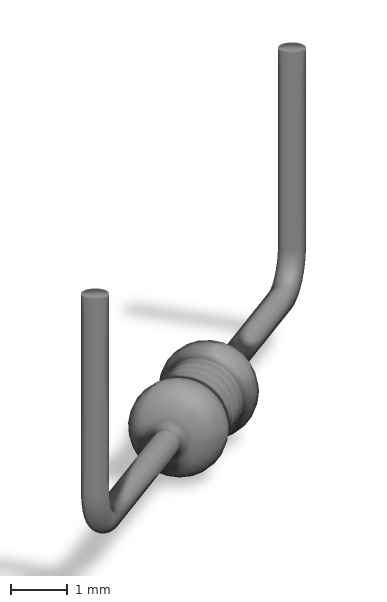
import cadquery as cq
import math

overall_length = 13.0
overall_height = 5.4

wire_radius = 0.25
bend_radius = 0.75

bulge_radius = 0.9
bulge_offset = 0.96
bulge_arc = 0.64
waist_radius = 0.77
waist_half_length = 0.45
neck_end = 1.78

band_diameter = 1.55
band_width = 0.13
band_pitch = 0.26
band_count = 4

leg_offset = overall_length / 2 - wire_radius
lead_top = overall_height - bulge_radius


def blend_with_bulge(axial_position, cylinder_radius):
    """Return the tangent and middle points of a concave arc from the bulge to a cylinder.

    The arc meets the cylinder tangentially at axial_position.
    Points are (radius, axial position).
    """
    bulge_center = bulge_radius - bulge_arc
    axial_gap = axial_position - bulge_offset
    radial_gap = cylinder_radius - bulge_center
    blend = (axial_gap**2 + radial_gap**2 - bulge_arc**2) / (2 * (bulge_arc - radial_gap))
    center_radius = cylinder_radius + blend
    share = bulge_arc / (bulge_arc + blend)
    tangent = (
        bulge_center + (center_radius - bulge_center) * share,
        bulge_offset + axial_gap * share,
    )
    start_angle = math.atan2(tangent[0] - center_radius, tangent[1] - axial_position)
    middle_angle = (start_angle - math.pi / 2) / 2
    middle = (
        center_radius + blend * math.sin(middle_angle),
        axial_position + blend * math.cos(middle_angle),
    )
    return tangent, middle


def make_half_body():
    """Turn the +Y half of the body, from its middle to the neck."""
    waist_tangent, waist_middle = blend_with_bulge(waist_half_length, waist_radius)
    neck_tangent, neck_middle = blend_with_bulge(neck_end, wire_radius)
    return (
        cq.Workplane("XY")
        .lineTo(waist_radius, 0)
        .lineTo(waist_radius, waist_half_length)
        .threePointArc(waist_middle, waist_tangent)
        .threePointArc((bulge_radius, bulge_offset), neck_tangent)
        .threePointArc(neck_middle, (wire_radius, neck_end))
        .lineTo(0, neck_end)
        .close()
        .revolve(360, (0, 0, 0), (0, 1, 0))
    )


def make_band(index):
    """Make one raised colour band around the waist."""
    center = (index - (band_count - 1) / 2) * band_pitch
    return (
        cq.Workplane("XZ", origin=(0, center + band_width / 2, 0))
        .circle(band_diameter / 2)
        .extrude(band_width)
    )


def make_lead():
    """Sweep the +Y lead from the middle of the body, around the bend and up."""
    bend_start = leg_offset - bend_radius
    path = (
        cq.Workplane("YZ")
        .lineTo(bend_start, 0)
        .radiusArc((leg_offset, bend_radius), -bend_radius)
        .lineTo(leg_offset, lead_top)
    )
    return cq.Workplane("XZ").circle(wire_radius).sweep(path)


half = make_half_body().union(make_lead())
result = half.union(half.mirror("XZ"))
for band_index in range(band_count):
    result = result.union(make_band(band_index))